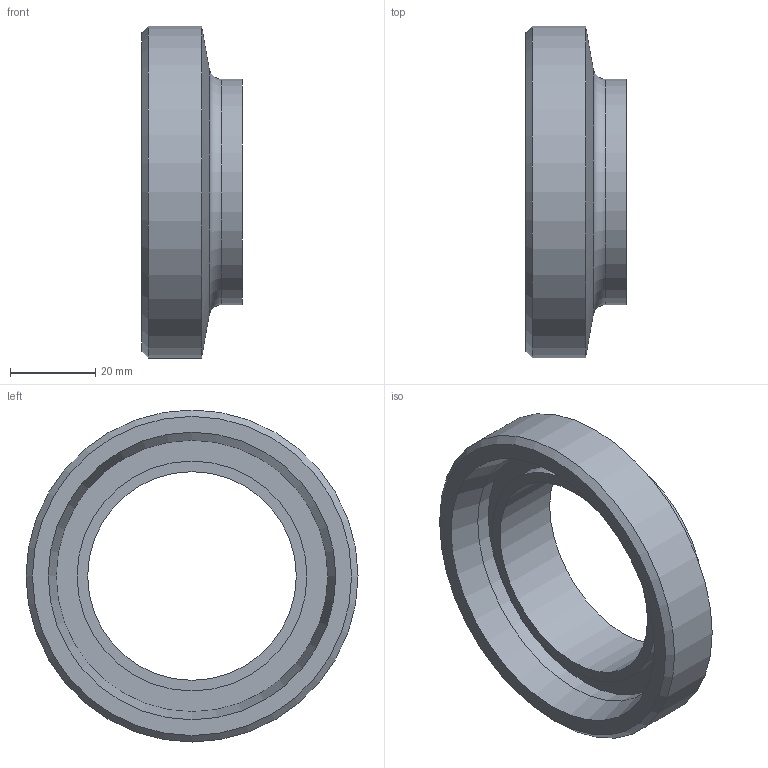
import cadquery as cq
import math

FLANGE_DIAMETER = 78.0
SPIGOT_DIAMETER = 53.0
BORE_DIAMETER = 49.0
COLLAR_DIAMETER = 54.0
SEAT_DIAMETER = 63.8

TOTAL_LENGTH = 23.5
RIM_END = 14.0
COLLAR_FACE = 7.0
TAPER_END = 7.0
FLOOR_DEPTH = 10.5

TAPER_DEGREES = 15.0
RIM_CHAMFER = 1.5
BACK_SLOPE_DEGREES = 10.0
NECK_RADIUS = 3.0

FLANGE_RADIUS = FLANGE_DIAMETER / 2
SPIGOT_RADIUS = SPIGOT_DIAMETER / 2
BORE_RADIUS = BORE_DIAMETER / 2
COLLAR_RADIUS = COLLAR_DIAMETER / 2
SEAT_RADIUS = SEAT_DIAMETER / 2
MOUTH_RADIUS = SEAT_RADIUS + TAPER_END * math.tan(math.radians(TAPER_DEGREES))


def outer_body():
    """Turned outside: chamfered rim, conical back, rounded neck and spigot."""
    slope = math.radians(BACK_SLOPE_DEGREES)

    corner_x = RIM_END + (FLANGE_RADIUS - SPIGOT_RADIUS) * math.tan(slope)
    tangent_length = NECK_RADIUS * math.tan((math.pi / 2 - slope) / 2)
    neck_start = (
        corner_x - tangent_length * math.sin(slope),
        SPIGOT_RADIUS + tangent_length * math.cos(slope),
    )
    neck_end = (corner_x + tangent_length, SPIGOT_RADIUS)

    profile = (
        cq.Workplane("XY")
        .moveTo(0, 0)
        .lineTo(0, FLANGE_RADIUS - RIM_CHAMFER)
        .lineTo(RIM_CHAMFER, FLANGE_RADIUS)
        .lineTo(RIM_END, FLANGE_RADIUS)
        .lineTo(*neck_start)
        .radiusArc(neck_end, -NECK_RADIUS)
        .lineTo(TOTAL_LENGTH, SPIGOT_RADIUS)
        .lineTo(TOTAL_LENGTH, 0)
        .close()
    )
    return profile.revolve(360, (0, 0, 0), (1, 0, 0))


def inner_cavity():
    """Space inside the ring: tapered mouth, seat around the raised collar, and through bore."""
    profile = (
        cq.Workplane("XY")
        .moveTo(0, 0)
        .lineTo(0, MOUTH_RADIUS)
        .lineTo(TAPER_END, SEAT_RADIUS)
        .lineTo(FLOOR_DEPTH, SEAT_RADIUS)
        .lineTo(FLOOR_DEPTH, COLLAR_RADIUS)
        .lineTo(COLLAR_FACE, COLLAR_RADIUS)
        .lineTo(COLLAR_FACE, BORE_RADIUS)
        .lineTo(TOTAL_LENGTH, BORE_RADIUS)
        .lineTo(TOTAL_LENGTH, 0)
        .close()
    )
    return profile.revolve(360, (0, 0, 0), (1, 0, 0))


result = outer_body().cut(inner_cavity())